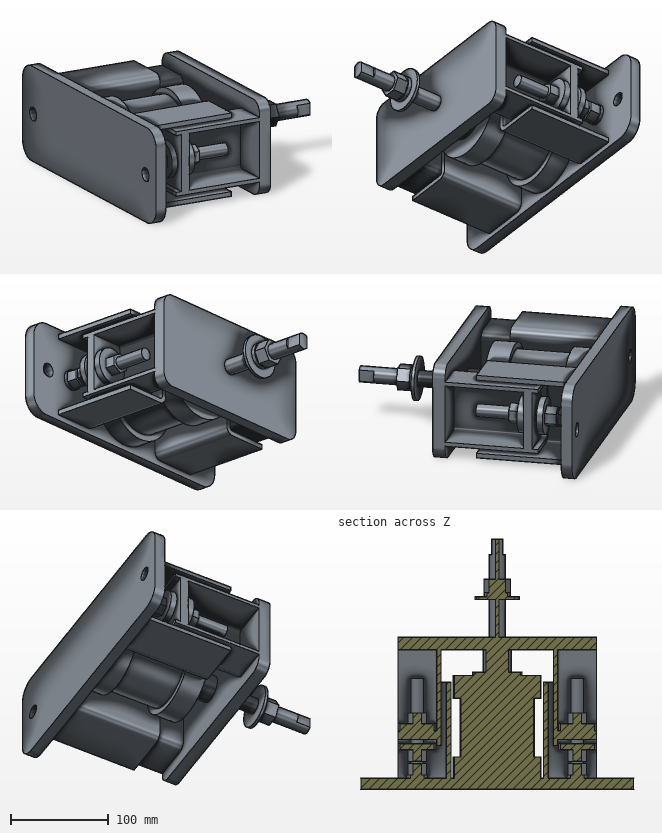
import cadquery as cq
import math

base_length = 279.5
plate_height = 101.7
base_thickness = 11.5
base_corner_radius = 19.0
mount_hole_diameter = 14.5
mount_hole_offset = 117.3

front_length = 203.5
front_thickness = 13.0
front_corner_radius = 12.9
front_inner_face = 142.5
front_outer_face = front_inner_face + front_thickness

channel_open_side = front_length / 2
channel_web = 5.0
channel_bend_radius = 3.5
outer_channel_web_face = 47.2
outer_channel_height = 89.5
outer_channel_flange = 5.0
outer_channel_end = 109.5
inner_channel_web_face = 57.0
inner_channel_height = 69.3
inner_channel_flange = 4.2
inner_channel_start = 44.7

stop_plate_start = 50.9
stop_plate_end = 60.0

bolt_offset = (inner_channel_web_face + channel_web + channel_open_side) / 2
bolt_diameter = 13.0
bolt_end = 113.2
bolt_nut_corners = 21.5
bolt_washer_diameter = 38.8
bolt_foot_end = 14.8
lock_nut_end = 26.3
lower_nut_start = 28.5
lower_washer_start = 40.2
lower_washer_end = 46.7
upper_washer_end = 67.0
upper_nut_end = 78.2

cap_diameter = 90.0
tube_diameter = 76.5
rear_cap_end = 33.2
front_cap_start = 93.0
front_cap_end = 116.5
collar_diameter = 50.9
collar_end = 120.0
piston_rod_diameter = 28.8

shaft_diameter = 16.8
shaft_end = 255.7
shaft_flat_length = 15.6
shaft_flat_width = 11.7
shaft_washer_diameter = 45.8
shaft_washer_start = 194.0
shaft_washer_end = 197.0
shaft_collar_diameter = 26.8
shaft_collar_end = 201.2
shaft_nut_end = 214.9
shaft_nut_flats = 23.5
shaft_nut_corners = shaft_nut_flats / math.cos(math.radians(30))


def section_plane(start):
    """XZ plane at Y = start; extrusions from it run toward +Y."""
    return cq.Workplane(cq.Plane(origin=(0, start, 0), xDir=(-1, 0, 0), normal=(0, 1, 0)))


def block(x_min, x_max, start, end, height):
    """Box between two X and two Y positions, centred on Z = 0."""
    centre_x = (x_min + x_max) / 2
    return section_plane(start).center(-centre_x, 0).rect(x_max - x_min, height).extrude(end - start)


def disc(diameter, start, end, x=0.0):
    """Round stage along Y between two Y positions."""
    return section_plane(start).center(-x, 0).circle(diameter / 2).extrude(end - start)


def hex_nut(corners, start, end, x=0.0, turn=0.0):
    """Hexagon along Y; with no turn, two of its corners point along X."""
    nut = section_plane(start).polygon(6, corners).extrude(end - start)
    return nut.rotate((0, 0, 0), (0, 1, 0), turn).translate((x, 0, 0))


def rounded_plate(length, start, end, corner_radius):
    plate = block(-length / 2, length / 2, start, end, plate_height)
    return plate.edges("|Y").fillet(corner_radius)


def channel(web_face, height, flange, start, end):
    """U section on the +X side, its web facing the cylinder."""
    body = block(web_face, channel_open_side, start, end, height)
    body = body.edges("|Y and <X").fillet(channel_bend_radius + channel_web)
    cavity = block(web_face + channel_web, channel_open_side, start, end, height - 2 * flange)
    return body.cut(cavity.edges("|Y and <X").fillet(channel_bend_radius))


def adjusting_bolt():
    """Threaded rod with its washers and nuts, standing on the base plate."""
    bolt = disc(bolt_diameter, base_thickness, bolt_end, bolt_offset)
    bolt = bolt.union(disc(bolt_nut_corners, base_thickness, bolt_foot_end, bolt_offset))
    washers = [(lower_washer_start, lower_washer_end), (stop_plate_end, upper_washer_end)]
    for start, end in washers:
        bolt = bolt.union(disc(bolt_washer_diameter, start, end, bolt_offset))
    nuts = [
        (bolt_foot_end, lock_nut_end),
        (lower_nut_start, lower_washer_start),
        (upper_washer_end, upper_nut_end),
    ]
    for start, end in nuts:
        bolt = bolt.union(hex_nut(bolt_nut_corners, start, end, bolt_offset, turn=30))
    return bolt


def guide():
    """Both channels, the stop plate and the bolt on the +X side."""
    outer = channel(
        outer_channel_web_face, outer_channel_height, outer_channel_flange,
        base_thickness, outer_channel_end,
    )
    inner = channel(
        inner_channel_web_face, inner_channel_height, inner_channel_flange,
        inner_channel_start, front_inner_face,
    )
    stop_plate = block(
        inner_channel_web_face + channel_web / 2, channel_open_side,
        stop_plate_start, stop_plate_end, inner_channel_height - inner_channel_flange,
    )
    return outer.union(inner).union(stop_plate).union(adjusting_bolt())


def cylinder():
    body = disc(cap_diameter, base_thickness, rear_cap_end)
    body = body.union(disc(tube_diameter, rear_cap_end, front_cap_start))
    body = body.union(disc(cap_diameter, front_cap_start, front_cap_end))
    body = body.union(disc(collar_diameter, front_cap_end, collar_end))
    return body.union(disc(piston_rod_diameter, collar_end, front_inner_face))


def shaft():
    """Shaft with washer, collar and nut, and two flats at its tip."""
    flat_start = shaft_end - shaft_flat_length
    tip = disc(shaft_diameter, flat_start, shaft_end)
    tip = tip.intersect(
        block(-shaft_flat_width / 2, shaft_flat_width / 2, flat_start, shaft_end, shaft_diameter)
    )
    body = disc(shaft_diameter, front_outer_face, flat_start).union(tip)
    body = body.union(disc(shaft_washer_diameter, shaft_washer_start, shaft_washer_end))
    body = body.union(disc(shaft_collar_diameter, shaft_washer_end, shaft_collar_end))
    return body.union(hex_nut(shaft_nut_corners, shaft_collar_end, shaft_nut_end))


def base_plate():
    plate = rounded_plate(base_length, 0, base_thickness, base_corner_radius)
    for x in (-mount_hole_offset, mount_hole_offset):
        plate = plate.cut(disc(mount_hole_diameter, 0, base_thickness, x))
    return plate


front_plate = rounded_plate(front_length, front_inner_face, front_outer_face, front_corner_radius)
right_guide = guide()
left_guide = right_guide.mirror("YZ")

result = base_plate().union(front_plate).union(cylinder()).union(shaft())
result = result.union(right_guide).union(left_guide)